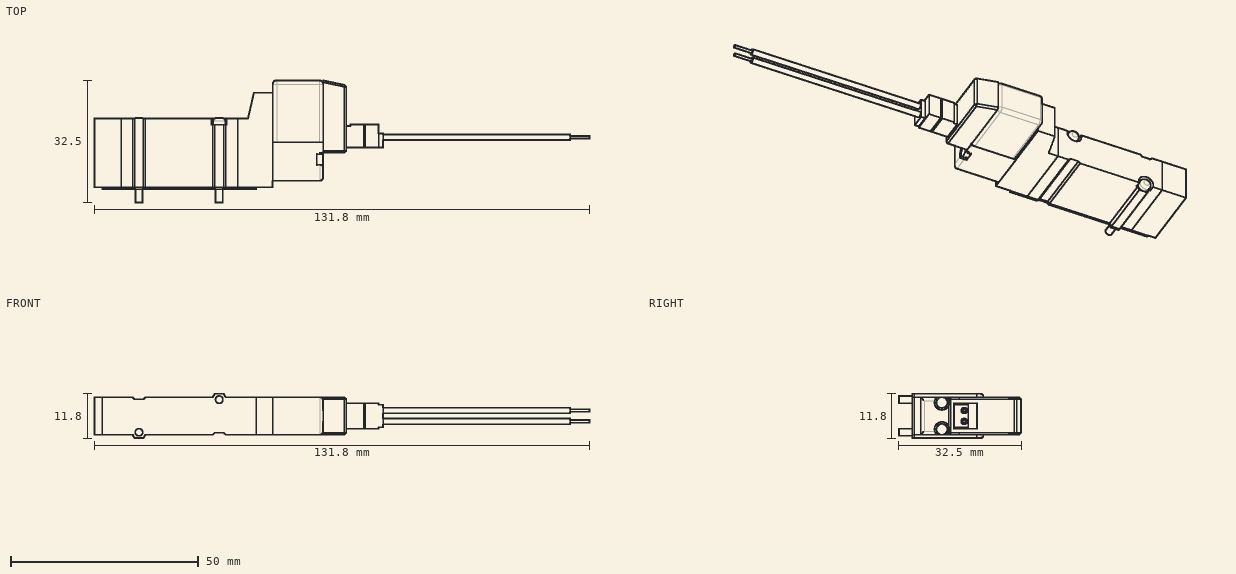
import cadquery as cq


HALF_THICKNESS = 5.0
BODY_Y_MIN = 4.1
BODY_Y_MAX = 22.4

END_PLATE_END = 7.1
BODY_END = 38.1
ADAPTER_END = 47.5
PILOT_END = 60.9
COVER_END = 67.1

GASKET_THICKNESS = 0.5
GASKET_Y_MIN = BODY_Y_MIN - GASKET_THICKNESS
GASKET_OVERHANG = 5.0
GASKET_START = END_PLATE_END - GASKET_OVERHANG
GASKET_END = BODY_END + GASKET_OVERHANG

SCREWS = [(11.9, -1), (33.2, 1)]
SCREW_Z = 4.3
SCREW_RADIUS = 0.99
HEAD_RADIUS = 1.6
HEAD_HEIGHT = 1.8
HEAD_FILLET = 0.8
COUNTERBORE_RADIUS = 2.1
COUNTERBORE_DEPTH = 1.7
HEAD_SEAT_Y = BODY_Y_MAX - COUNTERBORE_DEPTH

RIDGE_HEIGHT = 0.9
RIDGE_BASE_HALF_WIDTH = 1.7
RIDGE_TOP_HALF_WIDTH = 1.2
GROOVE_DEPTH = 0.5
GROOVE_MOUTH_HALF_WIDTH = 1.7
GROOVE_FLOOR_HALF_WIDTH = 1.2

ADAPTER_Y_MAX = 29.3
ADAPTER_SLOPE_START = 40.9
ADAPTER_SLOPE_END = 42.5

PILOT_Y_MIN = 5.8
COIL_Y_MIN = 16.1
PILOT_Y_MAX = 32.5
COIL_RECESS = 0.07
COIL_HALF_THICKNESS = HALF_THICKNESS - COIL_RECESS
COIL_FILLET = 1.0
BASE_FILLET = 0.9
COVER_Y_MIN = 13.3
COVER_DROP = 1.3
COVER_CHAMFER = 0.5
BUTTON_Y = 11.5
BUTTON_Z = 3.5
BUTTON_RADIUS = 1.5
BUTTON_POCKET_RADIUS = 2.0
BUTTON_POCKET_DEPTH = 1.7
BUTTON_LENGTH = 1.6

PLUG_Y_MIN = 14.6
PLUG_Y_MAX = 20.8
PLUG_HALF_THICKNESS = 3.4
PLUG_END = 75.7
PLUG_NOSE_LENGTH = 1.0
PLUG_NOSE_STEP = 0.4
PLUG_GROOVE_START = 71.7
PLUG_GROOVE_WIDTH = 0.4
PLUG_GROOVE_DEPTH = 0.1
BOOT_END = 76.8
BOOT_Y_MAX = 18.5
BOOT_HALF_THICKNESS = 3.0

WIRE_Y = 17.4
WIRE_Z = 1.5
WIRE_RADIUS = 0.8
INSULATION_END = 126.7
CONDUCTOR_RADIUS = 0.4
CONDUCTOR_END = 131.8


def block(x_min, x_max, y_min, y_max, half_thickness):
    """Box centred on Z = 0 between two X and two Y limits."""
    return cq.Workplane("XY").box(
        x_max - x_min, y_max - y_min, 2 * half_thickness, centered=(False, False, True)
    ).translate((x_min, y_min, 0))


def y_cylinder(x, z, radius, y_min, y_max):
    """Cylinder along Y."""
    return cq.Workplane(cq.Solid.makeCylinder(radius, y_max - y_min, cq.Vector(x, y_min, z), cq.Vector(0, 1, 0)))


def x_cylinder(y, z, radius, x_min, x_max):
    """Cylinder along X."""
    return cq.Workplane(cq.Solid.makeCylinder(radius, x_max - x_min, cq.Vector(x_min, y, z), cq.Vector(1, 0, 0)))


def y_trapezoid(x, z_wide, z_narrow, half_wide, half_narrow, y_min, y_max):
    """Trapezoidal bar along Y, symmetric about X = x."""
    outline = [
        (x - half_wide, z_wide),
        (x + half_wide, z_wide),
        (x + half_narrow, z_narrow),
        (x - half_narrow, z_narrow),
    ]
    bar = cq.Workplane("XZ").polyline(outline).close().extrude(y_min - y_max)
    return bar.translate((0, y_min, 0))


def add_screw_passages(blank, y_min, y_max):
    """Give a blank its screw ridges, opposite grooves and through holes."""
    for x, side in SCREWS:
        face_z = side * HALF_THICKNESS
        ridge = y_trapezoid(
            x, face_z, face_z + side * RIDGE_HEIGHT,
            RIDGE_BASE_HALF_WIDTH, RIDGE_TOP_HALF_WIDTH, y_min, y_max,
        )
        groove = y_trapezoid(
            x, -face_z, -face_z + side * GROOVE_DEPTH,
            GROOVE_MOUTH_HALF_WIDTH, GROOVE_FLOOR_HALF_WIDTH, GASKET_Y_MIN, BODY_Y_MAX,
        )
        hole = y_cylinder(x, side * SCREW_Z, SCREW_RADIUS, GASKET_Y_MIN, BODY_Y_MAX)
        blank = blank.union(ridge).cut(groove).cut(hole)
    return blank


def make_end_plate():
    return block(0, END_PLATE_END, BODY_Y_MIN, BODY_Y_MAX, HALF_THICKNESS)


def make_body():
    blank = block(END_PLATE_END, BODY_END, BODY_Y_MIN, BODY_Y_MAX, HALF_THICKNESS)
    body = add_screw_passages(blank, BODY_Y_MIN, HEAD_SEAT_Y)
    for x, side in SCREWS:
        body = body.cut(y_cylinder(x, side * SCREW_Z, COUNTERBORE_RADIUS, HEAD_SEAT_Y, BODY_Y_MAX))
    return body


def make_gasket():
    blank = block(GASKET_START, GASKET_END, GASKET_Y_MIN, BODY_Y_MIN, HALF_THICKNESS)
    return add_screw_passages(blank, GASKET_Y_MIN, BODY_Y_MIN)


def make_screw(x, side):
    z = side * SCREW_Z
    head = y_cylinder(x, z, HEAD_RADIUS, HEAD_SEAT_Y, HEAD_SEAT_Y + HEAD_HEIGHT)
    head = head.faces(">Y").edges().fillet(HEAD_FILLET)
    return y_cylinder(x, z, SCREW_RADIUS, 0, HEAD_SEAT_Y).union(head)


def make_adapter():
    outline = [
        (BODY_END, BODY_Y_MIN),
        (ADAPTER_END, BODY_Y_MIN),
        (ADAPTER_END, ADAPTER_Y_MAX),
        (ADAPTER_SLOPE_END, ADAPTER_Y_MAX),
        (ADAPTER_SLOPE_START, BODY_Y_MAX),
        (BODY_END, BODY_Y_MAX),
    ]
    return cq.Workplane("XY").polyline(outline).close().extrude(HALF_THICKNESS, both=True)


def make_coil_housing():
    coil = block(ADAPTER_END, PILOT_END, COIL_Y_MIN, PILOT_Y_MAX, COIL_HALF_THICKNESS)
    return coil.edges("|Y or >Y").fillet(COIL_FILLET)


def make_pilot_base():
    """Square base with a rounded free end and a round button recessed in each Z side."""
    base = block(ADAPTER_END, PILOT_END, PILOT_Y_MIN, COVER_Y_MIN, HALF_THICKNESS)
    base = base.faces(">X").edges("not >Y").fillet(BASE_FILLET)
    base = base.union(block(ADAPTER_END, PILOT_END, COVER_Y_MIN, COIL_Y_MIN, HALF_THICKNESS))
    floor_x = PILOT_END - BUTTON_POCKET_DEPTH
    for side in (-1, 1):
        z = side * BUTTON_Z
        pocket = x_cylinder(BUTTON_Y, z, BUTTON_POCKET_RADIUS, floor_x, PILOT_END)
        button = x_cylinder(BUTTON_Y, z, BUTTON_RADIUS, floor_x, floor_x + BUTTON_LENGTH)
        base = base.cut(pocket).union(button)
    return base


def make_pilot_cover():
    outline = [
        (PILOT_END, COVER_Y_MIN),
        (COVER_END, COVER_Y_MIN),
        (COVER_END, PILOT_Y_MAX - COVER_DROP),
        (PILOT_END, PILOT_Y_MAX),
    ]
    cover = cq.Workplane("XY").polyline(outline).close().extrude(COIL_HALF_THICKNESS, both=True)
    return cover.faces("<Z or >Z or >X").edges("not <X").chamfer(COVER_CHAMFER)


def make_pilot():
    return make_pilot_base().union(make_coil_housing()).union(make_pilot_cover())


def make_connector():
    """Plug with a stepped nose, a shallow groove around it and a wire boot."""
    nose_end = COVER_END + PLUG_NOSE_LENGTH
    nose = block(COVER_END, nose_end, PLUG_Y_MIN, PLUG_Y_MAX - PLUG_NOSE_STEP, PLUG_HALF_THICKNESS)
    plug = block(nose_end, PLUG_END, PLUG_Y_MIN, PLUG_Y_MAX, PLUG_HALF_THICKNESS)
    boot = block(PLUG_END, BOOT_END, PLUG_Y_MIN, BOOT_Y_MAX, BOOT_HALF_THICKNESS)
    groove_end = PLUG_GROOVE_START + PLUG_GROOVE_WIDTH
    band = block(PLUG_GROOVE_START, groove_end, PLUG_Y_MIN, PLUG_Y_MAX, PLUG_HALF_THICKNESS)
    core = block(
        PLUG_GROOVE_START, groove_end,
        PLUG_Y_MIN + PLUG_GROOVE_DEPTH, PLUG_Y_MAX - PLUG_GROOVE_DEPTH,
        PLUG_HALF_THICKNESS - PLUG_GROOVE_DEPTH,
    )
    return plug.cut(band.cut(core)).union(nose).union(boot)


def make_wire(z):
    """Insulated lead with its bare conductor tip."""
    insulation = x_cylinder(WIRE_Y, z, WIRE_RADIUS, BOOT_END, INSULATION_END)
    return insulation.union(x_cylinder(WIRE_Y, z, CONDUCTOR_RADIUS, INSULATION_END, CONDUCTOR_END))


end_plate = make_end_plate()
body = make_body()
gasket = make_gasket()
adapter = make_adapter()
pilot = make_pilot()
connector = make_connector()
screws = [make_screw(x, side) for x, side in SCREWS]
wires = [make_wire(side * WIRE_Z) for side in (-1, 1)]

result = cq.Compound.makeCompound([
    end_plate.val(),
    body.val(),
    gasket.val(),
    adapter.val(),
    pilot.val(),
    connector.val(),
    *[screw.val() for screw in screws],
    *[wire.val() for wire in wires],
])